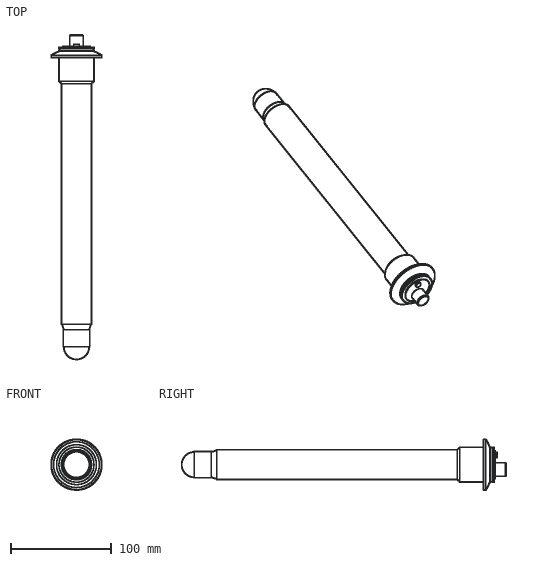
import cadquery as cq

total_length = 322.5

dome_diameter = 25.5
dome_radius = dome_diameter / 2
neck_diameter = 26.5
neck_end = 29.7
taper_end = 35.0
taper_small_diameter = 25.5
taper_large_diameter = 29.0

shaft_diameter = 30.0
collar_diameter = 34.8
collar_length = 25.8
collar_chamfer = (collar_diameter - shaft_diameter) / 2

flange_seat = 299.5
flange_diameter = 50.5
rim_height = 2.5
rim_chamfer = 0.48
shoulder_diameter = 44.0
shoulder_height = 4.5
seal_groove_diameter = 42.5
seal_groove_width = 3.0
seal_groove_depth = 1.3
cap_diameter = 34.8
cap_foot_height = 6.5
cap_height = 10.5
crown_diameter = 27.7
crown_height = 11.5
groove_width = 2.0
groove_depth = 0.3
groove_height = 7.5

stub_diameter = 13.5
stub_chamfer = 1.0
stub_offset = -4.8
pin_diameter = 5.5
pin_offset = 9.7
pin_height = 2.0


def make_revolved_body():
    """Revolve the half profile, given as (radius, distance from dome end)."""
    def seat(height):
        return flange_seat + height

    flange_radius = flange_diameter / 2
    seal_radius = seal_groove_diameter / 2
    cap_radius = cap_diameter / 2
    groove_radius = cap_radius - groove_depth
    profile = (
        cq.Workplane("XY")
        .moveTo(0, 0)
        .threePointArc(
            (dome_radius * 0.5 ** 0.5, dome_radius * (1 - 0.5 ** 0.5)),
            (dome_radius, dome_radius),
        )
        .lineTo(neck_diameter / 2, dome_radius)
        .lineTo(neck_diameter / 2, neck_end)
        .lineTo(taper_small_diameter / 2, neck_end)
        .lineTo(taper_large_diameter / 2, taper_end)
        .lineTo(shaft_diameter / 2, taper_end)
        .lineTo(shaft_diameter / 2, seat(-collar_length))
        .lineTo(collar_diameter / 2, seat(-collar_length + collar_chamfer))
        .lineTo(collar_diameter / 2, seat(0))
        .lineTo(seal_radius - seal_groove_width / 2, seat(0))
        .threePointArc(
            (seal_radius, seat(seal_groove_depth)),
            (seal_radius + seal_groove_width / 2, seat(0)),
        )
        .lineTo(flange_radius - rim_chamfer, seat(0))
        .lineTo(flange_radius, seat(rim_chamfer))
        .lineTo(flange_radius, seat(rim_height))
        .lineTo(shoulder_diameter / 2, seat(shoulder_height))
        .lineTo(cap_radius, seat(cap_foot_height))
        .lineTo(cap_radius, seat(groove_height))
        .lineTo(groove_radius, seat(groove_height))
        .lineTo(groove_radius, seat(groove_height + groove_width))
        .lineTo(cap_radius, seat(groove_height + groove_width))
        .lineTo(cap_radius, seat(cap_height))
        .lineTo(crown_diameter / 2, seat(cap_height))
        .lineTo(crown_diameter / 2, seat(crown_height))
        .lineTo(0, seat(crown_height))
        .close()
    )
    return profile.revolve(360, (0, 0, 0), (0, 1, 0))


def make_peg(diameter, z_offset, end):
    """Cylinder along Y, rooted at the flange seat and ending at the given distance."""
    length = end - flange_seat
    return (
        cq.Workplane("XZ", origin=(0, flange_seat, z_offset))
        .circle(diameter / 2)
        .extrude(-length)
    )


stub = make_peg(stub_diameter, stub_offset, total_length).faces(">Y").chamfer(stub_chamfer)
pin = make_peg(pin_diameter, pin_offset, flange_seat + crown_height + pin_height)

result = make_revolved_body().union(stub).union(pin)